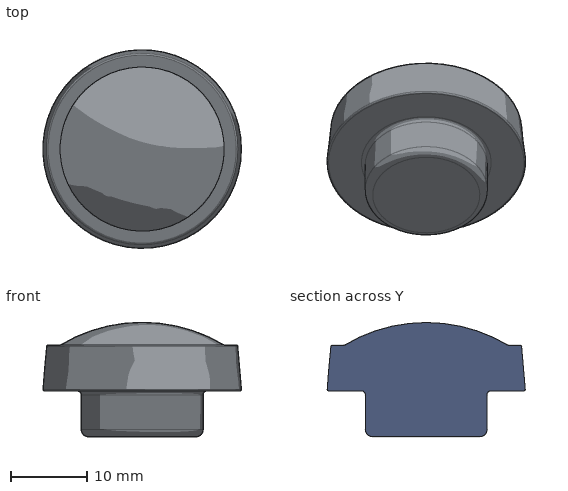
import cadquery as cq

rim_diameter = 26.0
top_diameter = 25.0
dome_diameter = 21.48
stem_diameter = 16.0
stem_height = 6.0
head_height = 6.0
dome_height = 3.0

stem_end_fillet = 1.0
stem_root_fillet = 0.5
head_edge_fillet = 0.2
rim_allowance = 0.042

head_top = stem_height + head_height
apex = head_top + dome_height
dome_radius = dome_diameter / 2
sphere_radius = (dome_radius**2 + dome_height**2) / (2 * dome_height)


def make_stem():
    """Cylindrical stem with a rounded free end."""
    stem = cq.Workplane("XY").circle(stem_diameter / 2).extrude(stem_height)
    return stem.faces("<Z").edges().fillet(stem_end_fillet)


def make_head():
    """Tapered head with softened upper and lower edges."""
    head = (
        cq.Workplane("XY", origin=(0, 0, stem_height))
        .circle((rim_diameter + rim_allowance) / 2)
        .workplane(offset=head_height)
        .circle(top_diameter / 2)
        .loft(ruled=True)
    )
    return head.faces("<Z or >Z").edges().fillet(head_edge_fillet)


def make_dome():
    """Spherical cap on the flat top of the head."""
    sphere = cq.Workplane("XY", origin=(0, 0, apex - sphere_radius)).sphere(sphere_radius)
    cap_base = cq.Workplane("XY", origin=(0, 0, head_top))
    cap_limit = cap_base.circle(rim_diameter / 2).extrude(dome_height)
    return sphere.intersect(cap_limit)


def round_stem_root(body):
    """Blend the stem into the underside of the head."""
    root_edge = cq.selectors.RadiusNthSelector(0)
    underside_radius = (stem_diameter + rim_diameter) / 4
    underside_point = (underside_radius, 0, stem_height)
    underside = body.faces(cq.selectors.NearestToPointSelector(underside_point))
    return underside.edges(root_edge).fillet(stem_root_fillet)


body = make_stem().union(make_head())
result = round_stem_root(body).union(make_dome())